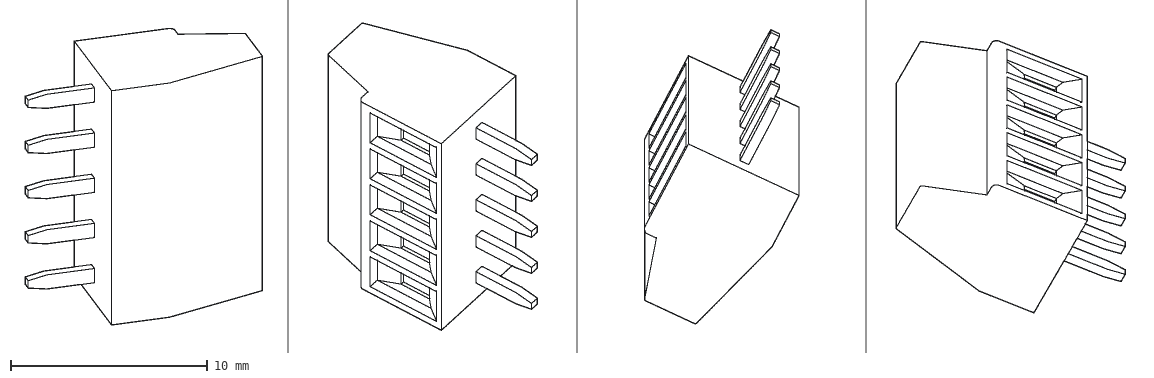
import cadquery as cq


position_count = 5
pitch = 2.54
block_height = 13.18

block_width = 6.3
block_depth = 8.6
left_x = -block_width / 2
right_x = block_width / 2
step_y = 5.3
step_width = 0.8
crest_left_x = -1.4
crest_right_x = 1.52
right_slope_start_y = 3.1
step_fillet = 0.3
crest_fillet = 0.1

entry_near_y = 0.3
entry_far_y = 4.55
entry_height = 2.1
entry_depth = 0.6
throat_near_y = 1.37
throat_far_y = 3.18
throat_height = 1.38
funnel_depth = 0.8
throat_floor_depth = 1.0

pin_length = 3.55
pin_center_x = 0.03
pin_width = 0.5
pin_height = 0.8
pin_tip_height = 0.42
pin_taper_length = 1.0
pin_root_y = 1.0


def position_z(index):
    """Height of the centre of one terminal position."""
    return (index - (position_count - 1) / 2) * pitch


def make_housing():
    """Stepped, tapered profile extruded over the full height."""
    profile = [
        (left_x, 0),
        (right_x, 0),
        (right_x, right_slope_start_y),
        (crest_right_x, block_depth),
        (crest_left_x, block_depth),
        (left_x + step_width, step_y),
        (left_x, step_y),
    ]
    body = cq.Workplane("XY").polyline(profile).close().extrude(block_height / 2, both=True)
    body = body.edges("|Z").edges(">Y").fillet(crest_fillet)
    step_corner = cq.selectors.NearestToPointSelector((left_x, step_y, 0))
    return body.edges("|Z").edges(step_corner).fillet(step_fillet)


def entry_section(depth, near_y, far_y, height):
    """Rectangular wire parallel to the entry face at the given depth."""
    x = left_x + depth
    corners = [
        cq.Vector(x, near_y, -height / 2),
        cq.Vector(x, far_y, -height / 2),
        cq.Vector(x, far_y, height / 2),
        cq.Vector(x, near_y, height / 2),
    ]
    return cq.Wire.makePolygon(corners, close=True)


def make_entry():
    """Cutter for one wire entry: straight mouth, funnel and shallow throat.

    The wall nearest the pins is one sloping plane from the mouth to the throat.
    """
    near_slope = (throat_near_y - entry_near_y) / funnel_depth
    funnel_near_y = entry_near_y + near_slope * entry_depth

    mouth_section = entry_section(0, entry_near_y, entry_far_y, entry_height)
    funnel_section = entry_section(entry_depth, funnel_near_y, entry_far_y, entry_height)
    throat_section = entry_section(funnel_depth, throat_near_y, throat_far_y, throat_height)
    floor_section = entry_section(throat_floor_depth, throat_near_y, throat_far_y, throat_height)

    mouth = cq.Solid.makeLoft([mouth_section, funnel_section], True)
    funnel = cq.Solid.makeLoft([funnel_section, throat_section], True)
    throat = cq.Solid.makeLoft([throat_section, floor_section], True)
    return cq.Workplane(mouth).union(cq.Workplane(funnel)).union(cq.Workplane(throat))


def make_pin():
    """Flat pin with a tip tapered in height only."""
    taper_y = pin_taper_length - pin_length
    outline = [
        (pin_root_y, -pin_height / 2),
        (taper_y, -pin_height / 2),
        (-pin_length, -pin_tip_height / 2),
        (-pin_length, pin_tip_height / 2),
        (taper_y, pin_height / 2),
        (pin_root_y, pin_height / 2),
    ]
    blade = cq.Workplane("YZ").polyline(outline).close().extrude(pin_width / 2, both=True)
    return blade.translate((pin_center_x, 0, 0))


result = make_housing()
entry = make_entry()
pin = make_pin()
for index in range(position_count):
    offset = (0, 0, position_z(index))
    result = result.cut(entry.translate(offset))
    result = result.union(pin.translate(offset))